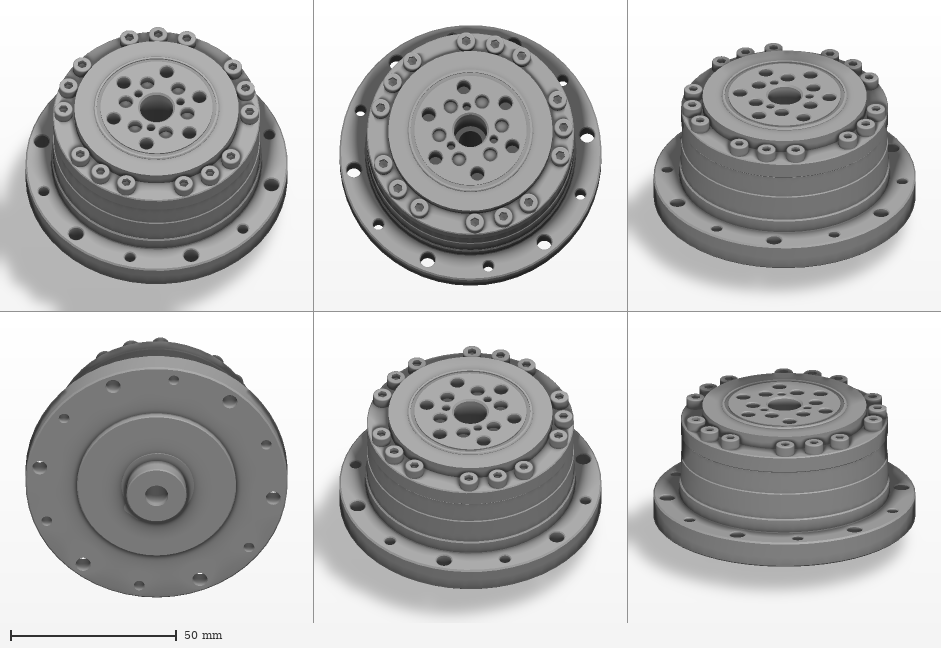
import cadquery as cq
import math

HUB_TOP = 5.6
PLATE_TOP = 6.0
FLANGE_BOTTOM = 8.1
FLANGE_TOP = 16.0
COLLAR_TOP = 20.5
LOWER_RING_TOP = 28.7
MIDDLE_RING_TOP = 35.5
UPPER_RING_TOP = 40.5
ROTOR_TOP = 44.55
OUTPUT_TOP = 45.0
SCREW_HEAD_TOP = 43.6

FLANGE_D = 79.0
COLLAR_D = 63.35
RING_D = 62.4
MIDDLE_RING_D = 61.9
ROTOR_D = 49.45
OUTPUT_D = 37.9
PILOT_D = 47.95
HUB_D = 18.0

FLANGE_CHAMFER = 0.5
COLLAR_CHAMFER = 0.4
COLLAR_FLARE = 0.2
EDGE_CHAMFER = 0.3
HOLE_CHAMFER = 0.3

GROOVE_OUTER_D = 36.1
GROOVE_INNER_D = 33.8
GROOVE_DEPTH = 0.5

THROUGH_BORE_D = 7.0
COUNTERBORE_D = 10.0
COUNTERBORE_DEPTH = 15.8
BORE_CHAMFER = 0.55

PLATE_D = 21.9
PLATE_OFFSET = 0.59
TAB_REACH = 12.3
TAB_WIDTH = 7.3
TAB_CORNER_R = 1.65
TAB_ROOT_R = 0.7

FLANGE_HOLE_CIRCLE_D = 71.1
FLANGE_LARGE_HOLE_D = 4.5
FLANGE_SMALL_HOLE_D = 3.2

OUTPUT_HOLE_D = 4.1
OUTPUT_OUTER_HOLE_DEPTH = 7.9
OUTPUT_INNER_HOLE_DEPTH = 2.7
OUTPUT_OUTER_CIRCLE_D = 27.0
OUTPUT_INNER_CIRCLE_D = 19.0
DOWEL_HOLE_D = 2.45
DOWEL_HOLE_DEPTH = 4.75
DOWEL_CHAMFER = 0.2
DOWEL_CIRCLE_D = 15.0

SCREW_CIRCLE_D = 56.1
SCREW_HEAD_D = 5.5
SCREW_EDGE_R = 0.4
SCREW_GROUPS = 5
SCREW_SPACING_DEG = 18
FIRST_GROUP_DEG = 18
SOCKET_ACROSS_FLATS = 2.5
SOCKET_DEPTH = 1.6
SOCKET_POINT_DEPTH = 0.7


def cylinder(diameter, bottom, top):
    return cq.Workplane("XY").workplane(offset=bottom).circle(diameter / 2).extrude(top - bottom)


def circle_points(circle_d, angles_deg):
    """Points on a circle about the part axis."""
    radius = circle_d / 2
    return [
        (radius * math.cos(math.radians(angle)), radius * math.sin(math.radians(angle)))
        for angle in angles_deg
    ]


def evenly_spaced(count, start_deg=0):
    return [start_deg + index * 360 / count for index in range(count)]


def countersunk_cutter(points, diameter, top, depth, chamfer=HOLE_CHAMFER):
    """Straight holes going down from a face, each with a chamfered mouth."""
    radius = diameter / 2
    cutter = (
        cq.Workplane("XZ")
        .moveTo(0, top)
        .lineTo(radius + chamfer, top)
        .lineTo(radius, top - chamfer)
        .lineTo(radius, top - depth)
        .lineTo(0, top - depth)
        .close()
        .revolve(360, (0, 0, 0), (0, 1, 0))
        .val()
    )
    return cq.Workplane("XY").pushPoints(points).eachpoint(lambda place: cutter.moved(place))


def stacked_body():
    hub = cylinder(HUB_D, 0, PLATE_TOP).faces("<Z").edges().chamfer(EDGE_CHAMFER)
    pilot = cylinder(PILOT_D, PLATE_TOP, FLANGE_BOTTOM).faces("<Z").edges().chamfer(EDGE_CHAMFER)
    flange = cylinder(FLANGE_D, FLANGE_BOTTOM, FLANGE_TOP).edges().chamfer(FLANGE_CHAMFER)
    collar = cylinder(COLLAR_D, FLANGE_TOP, COLLAR_TOP).faces(">Z").edges().chamfer(COLLAR_CHAMFER)
    flare = cq.Workplane(
        cq.Solid.makeCone(
            COLLAR_D / 2 + COLLAR_FLARE, COLLAR_D / 2, COLLAR_FLARE, cq.Vector(0, 0, FLANGE_TOP)
        )
    )
    lower_ring = cylinder(RING_D, COLLAR_TOP, LOWER_RING_TOP).faces(">Z").edges().chamfer(EDGE_CHAMFER)
    middle_ring = cylinder(MIDDLE_RING_D, LOWER_RING_TOP, MIDDLE_RING_TOP)
    upper_ring = cylinder(RING_D, MIDDLE_RING_TOP, UPPER_RING_TOP).edges().chamfer(EDGE_CHAMFER)
    rotor = cylinder(ROTOR_D, UPPER_RING_TOP, ROTOR_TOP)
    output = cylinder(OUTPUT_D, ROTOR_TOP, OUTPUT_TOP).faces(">Z").edges().chamfer(EDGE_CHAMFER)
    body = hub
    for section in (pilot, flange, flare, collar, lower_ring, middle_ring, upper_ring, rotor, output):
        body = body.union(section)
    return body


def tab_plate():
    height = PLATE_TOP - HUB_TOP
    disc = cylinder(PLATE_D, HUB_TOP, PLATE_TOP).translate((PLATE_OFFSET, 0, 0))
    tab = (
        cq.Workplane("XY")
        .box(TAB_REACH, TAB_WIDTH, height, centered=(False, True, False))
        .translate((-TAB_REACH, 0, HUB_TOP))
        .edges("|Z and <X")
        .fillet(TAB_CORNER_R)
    )
    root_x = PLATE_OFFSET - math.sqrt((PLATE_D / 2) ** 2 - (TAB_WIDTH / 2) ** 2)
    root_corners = cq.selectors.BoxSelector(
        (root_x - TAB_ROOT_R / 2, -TAB_WIDTH, 0),
        (root_x + TAB_ROOT_R / 2, TAB_WIDTH, FLANGE_BOTTOM),
    )
    return disc.union(tab).edges("|Z").edges(root_corners).fillet(TAB_ROOT_R)


def seal_groove():
    bottom = OUTPUT_TOP - GROOVE_DEPTH
    return cylinder(GROOVE_OUTER_D, bottom, OUTPUT_TOP).cut(cylinder(GROOVE_INNER_D, bottom, OUTPUT_TOP))


def centre_bore():
    counterbore = countersunk_cutter([(0, 0)], COUNTERBORE_D, OUTPUT_TOP, COUNTERBORE_DEPTH, BORE_CHAMFER)
    return cylinder(THROUGH_BORE_D, 0, OUTPUT_TOP).union(counterbore)


def flange_holes():
    thickness = FLANGE_TOP - FLANGE_BOTTOM
    large_points = circle_points(FLANGE_HOLE_CIRCLE_D, evenly_spaced(6))
    small_points = circle_points(FLANGE_HOLE_CIRCLE_D, evenly_spaced(6, 30))
    large = countersunk_cutter(large_points, FLANGE_LARGE_HOLE_D, FLANGE_TOP, thickness)
    small = countersunk_cutter(small_points, FLANGE_SMALL_HOLE_D, FLANGE_TOP, thickness)
    return large.add(small)


def output_holes():
    inner_points = circle_points(OUTPUT_INNER_CIRCLE_D, evenly_spaced(6))
    outer_points = circle_points(OUTPUT_OUTER_CIRCLE_D, evenly_spaced(6, 30))
    dowel_points = circle_points(DOWEL_CIRCLE_D, evenly_spaced(3, 90))
    inner = countersunk_cutter(inner_points, OUTPUT_HOLE_D, OUTPUT_TOP, OUTPUT_INNER_HOLE_DEPTH)
    outer = countersunk_cutter(outer_points, OUTPUT_HOLE_D, OUTPUT_TOP, OUTPUT_OUTER_HOLE_DEPTH)
    dowels = countersunk_cutter(dowel_points, DOWEL_HOLE_D, OUTPUT_TOP, DOWEL_HOLE_DEPTH, DOWEL_CHAMFER)
    return inner.add(outer).add(dowels)


def screw_head():
    """One socket head with a rounded rim and a conical socket floor."""
    socket_floor = SCREW_HEAD_TOP - SOCKET_DEPTH
    flat_radius = SOCKET_ACROSS_FLATS / 2
    corner_d = SOCKET_ACROSS_FLATS / math.cos(math.radians(30))
    head = cylinder(SCREW_HEAD_D, UPPER_RING_TOP, SCREW_HEAD_TOP).faces(">Z").edges().fillet(SCREW_EDGE_R)
    socket = (
        cq.Workplane("XY").workplane(offset=socket_floor).polygon(6, corner_d).extrude(SOCKET_DEPTH)
    )
    floor_cone = cq.Workplane(
        cq.Solid.makeCone(
            flat_radius, 0, SOCKET_POINT_DEPTH, cq.Vector(0, 0, socket_floor), cq.Vector(0, 0, -1)
        )
    )
    return head.cut(socket).cut(floor_cone)


def screw_heads():
    angles = [
        group + step * SCREW_SPACING_DEG
        for group in evenly_spaced(SCREW_GROUPS, FIRST_GROUP_DEG)
        for step in (-1, 0, 1)
    ]
    head = screw_head().translate((SCREW_CIRCLE_D / 2, 0, 0))
    heads = cq.Workplane("XY")
    for angle in angles:
        heads = heads.add(head.rotate((0, 0, 0), (0, 0, 1), angle))
    return heads.combine()


body = stacked_body().union(tab_plate())
for cutter in (seal_groove(), centre_bore(), flange_holes(), output_holes()):
    for tool in cutter.vals():
        body = body.cut(cq.Workplane(tool))
result = body.union(screw_heads())